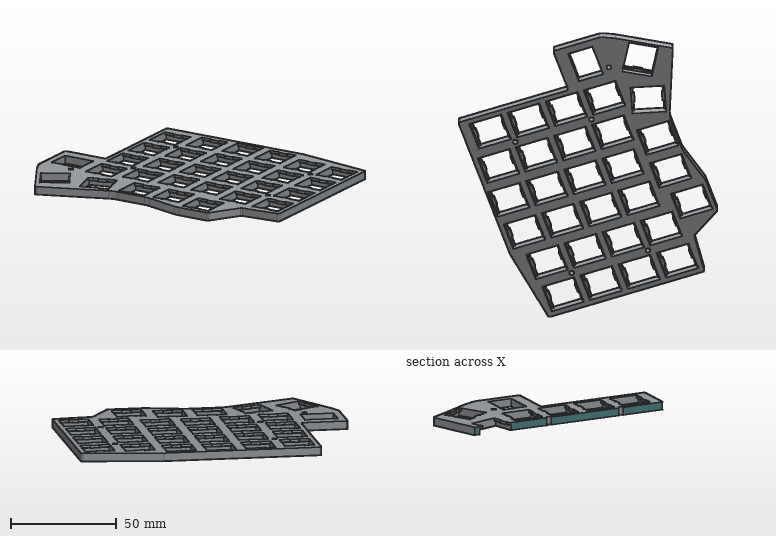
import cadquery as cq
length = 137.2
width = 109.2
thickness = 4.0

corner_radius = 1.0
soft_radius = 5.5
bend_radius = 12.3

pitch = 19.1
row_count = 4
first_column_x = 32.1
bottom_key_y = [39.2, 41.5, 43.0, 41.5, 36.8, 35.3]

thumb_x = 60.9
thumb_y = 22.5
thumb_keys = [
    (17.7, 16.3, 120),
    (39.6, 19.9, 15),
    (thumb_x, thumb_y, 0),
    (thumb_x + pitch, thumb_y, 0),
    (thumb_x + 2 * pitch, 18.4, 0),
]

switch_size = 14.1
tab_width = 4.4
tab_reach = 0.5
clip_depth = 1.4
relief = 1.0

window_centre = (11.7, 41.7)
window_size = (15.8, 12.1)

hole_diameter = 2.2
single_hole = (16.9, 31.8)
lower_pair_holes = [(41.3, 48.8), (117.7, 46.6)]

step_x = 22.5
step_y = 54.0
thumb_edge_y = 13.5
low_edge_y = 8.4
corners = [
    (0, 30.0, soft_radius),
    (2.7, 24.0, 0),
    (16.7, -0.3, corner_radius),
    (52.1, thumb_edge_y, bend_radius),
    (70.8, thumb_edge_y, bend_radius),
    (90.0, low_edge_y, bend_radius),
    (107.7, low_edge_y, corner_radius),
    (117.2, 23.3, corner_radius),
    (length, 25.0, corner_radius),
    (length, 102.9, corner_radius),
    (98.5, width, 0),
    (step_x, width, corner_radius),
    (step_x, step_y, corner_radius),
    (0, step_y, corner_radius),
]


def block(x_size, y_size, bottom, top):
    return cq.Workplane("XY", origin=(0, 0, bottom)).rect(x_size, y_size).extrude(top - bottom)


def rounded_plate():
    outline = [(x, y) for x, y, radius in corners]
    plate = cq.Workplane("XY").polyline(outline).close().extrude(thickness)
    for x, y, radius in corners:
        if radius > 0:
            corner = cq.selectors.NearestToPointSelector((x, y, thickness / 2))
            plate = plate.edges("|Z").edges(corner).fillet(radius)
    return plate


def switch_cutter():
    """Square opening with a tab on two opposite sides and a wider layer beneath the tabs."""
    ledge = thickness - clip_depth
    opening = block(switch_size, switch_size, ledge, thickness)
    tab_span = block(tab_width, switch_size, ledge, thickness)
    tab_gap = block(tab_width, switch_size - 2 * tab_reach, ledge, thickness)
    lower_layer = block(switch_size, switch_size + 2 * relief, 0, ledge)
    return opening.cut(tab_span).union(tab_gap).union(lower_layer)


keys = []
for column, bottom_y in enumerate(bottom_key_y):
    for row in range(row_count):
        keys.append((first_column_x + column * pitch, bottom_y + row * pitch, 0))
keys += thumb_keys

plate = rounded_plate()
cutter = switch_cutter()
for x, y, angle in keys:
    plate = plate.cut(cutter.rotate((0, 0, 0), (0, 0, 1), angle).translate((x, y, 0)))

window = block(*window_size, 0, thickness).translate((*window_centre, 0))
plate = plate.cut(window)

upper_pair_holes = [(x, y + 2 * pitch) for x, y in lower_pair_holes]
hole_centres = [single_hole] + lower_pair_holes + upper_pair_holes
holes = cq.Workplane("XY").pushPoints(hole_centres).circle(hole_diameter / 2).extrude(thickness)
result = plate.cut(holes)